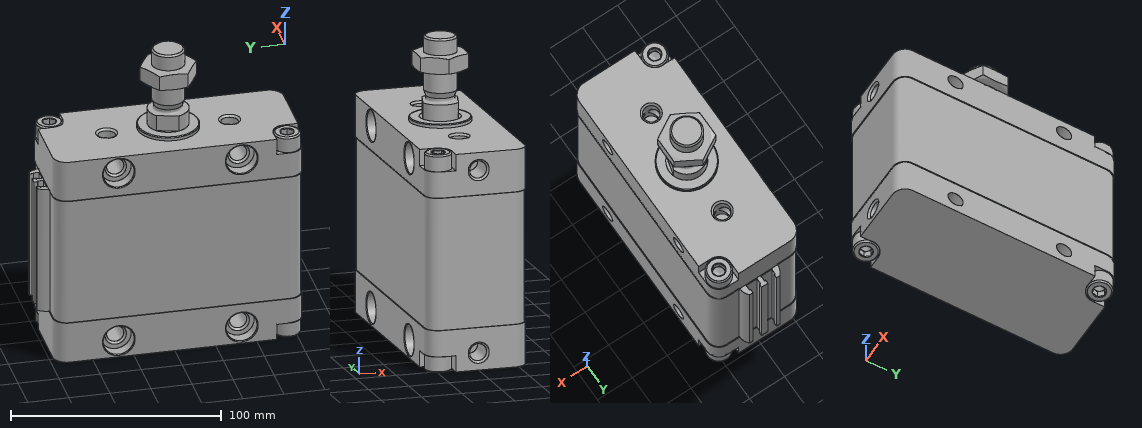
import cadquery as cq
import math

TOTAL_HEIGHT = 149.0
CAP_X = 50.0
CAP_Y = 121.3
CAP_HEIGHT = 21.0
CORNER_RADIUS = 7.0
HOUSING_HEIGHT = 107.1
BARREL_INSET = 0.5

RAIL_TOP_Y = 65.9
RAIL_BASE_RISE = 0.5
RAIL_HALF_WIDTH = 10.9
HOOK_TOP_OUTER = 8.6
HOOK_WALL_INNER = 7.3
HOOK_LIP_INNER = 6.7
HOOK_BULGE = 0.5
CENTRE_LIP_HALF = 1.8
CENTRE_WALL_HALF = 1.2
LIP_HEIGHT = 2.0

THREAD_HOLE_DIA = 8.3
THREAD_MOUTH_DIA = 10.5
HOLE_Y = 30.0
TOP_HOLE_DEPTH = 14.9
PORT_DEPTH = 14.9
PORT_INSET = 8.6
SIDE_HOLE_INSET = 8.8
COUNTERBORE_DIA = 15.0
COUNTERBORE_MOUTH_DIA = 16.0
COUNTERBORE_DEPTH = 6.4

SCREW_HEAD_DIA = 13.0
SCREW_TOP_DIA = 11.5
SCREW_HEAD_HEIGHT = 8.0
SOCKET_FLATS = 6.0
SOCKET_MOUTH_DIA = 6.9
SOCKET_DEPTH = 4.0
SOCKET_CONE_DEPTH = 1.8
SOCKET_ANGLE = 45.0
POCKET_DIA = 13.3

FLANGE_DIA = 30.0
FLANGE_HEIGHT = 2.0
FLANGE_CHAMFER = 0.5

ROD_DIA = 20.0
ROD_SHOULDER_Z = 117.1
ROD_FLAT_WIDTH = 16.8
ROD_FLAT_ANGLE = -15.0
NECK_DIA = 13.9
NECK_ROOT_RADIUS = 1.0
NECK_TOP_Z = 119.5
THREAD_DIA = 16.0
THREAD_BOTTOM_Z = 122.3
ROD_TIP_DIA = 14.3
ROD_TIP_LENGTH = 0.9

NUT_FLATS = 24.0
NUT_HEIGHT = 8.2
NUT_BOTTOM_Z = 132.8
NUT_FACE_DIA = 23.5
NUT_CHAMFER_ANGLE = 15.0
NUT_TURN = 30.0

BARREL_TOP_Z = HOUSING_HEIGHT - CAP_HEIGHT
FLANGE_TOP_Z = HOUSING_HEIGHT + FLANGE_HEIGHT
SCREW_X = CAP_X / 2 - CORNER_RADIUS
SCREW_Y = CAP_Y / 2 - CORNER_RADIUS


def rounded_block(width, length, height, radius):
    return (
        cq.Workplane("XY")
        .rect(width, length)
        .extrude(height)
        .edges("|Z")
        .fillet(radius)
    )


def revolved(profile):
    """Turn a list of (radius, height) points about the Z axis."""
    return cq.Workplane("XZ").polyline(profile).close().revolve(360, (0, 0, 0), (0, 1, 0))


def blind_hole(diameter, mouth_diameter, depth):
    """Cutter whose mouth lies at the origin and which runs down along -Z."""
    radius = diameter / 2
    mouth_radius = mouth_diameter / 2
    chamfer = mouth_radius - radius
    return revolved([(0, 0), (mouth_radius, 0), (radius, -chamfer), (radius, -depth), (0, -depth)])


def corner_pocket():
    """Square pocket open at the +X +Y corner, with one rounded inner corner."""
    pocket_radius = POCKET_DIA / 2
    reach = pocket_radius + CORNER_RADIUS
    floor_z = CAP_HEIGHT - SCREW_HEAD_HEIGHT
    return (
        cq.Workplane("XY", origin=(SCREW_X - pocket_radius, SCREW_Y - pocket_radius, floor_z))
        .rect(reach, reach, centered=False)
        .extrude(SCREW_HEAD_HEIGHT)
        .edges("|Z and <X and <Y")
        .fillet(pocket_radius)
    )


def screw_head():
    """Round head with a hexagon socket, its mouth countersunk at 45 degrees and its end a drill cone."""
    head_radius = SCREW_HEAD_DIA / 2
    top_radius = SCREW_TOP_DIA / 2
    chamfer = head_radius - top_radius
    head = revolved([
        (0, 0),
        (head_radius, 0),
        (head_radius, SCREW_HEAD_HEIGHT - chamfer),
        (top_radius, SCREW_HEAD_HEIGHT),
        (0, SCREW_HEAD_HEIGHT),
    ])
    socket_floor = SCREW_HEAD_HEIGHT - SOCKET_DEPTH
    socket = (
        cq.Workplane("XY", origin=(0, 0, socket_floor))
        .polygon(6, SOCKET_FLATS / math.cos(math.pi / 6))
        .extrude(SOCKET_DEPTH)
        .rotate((0, 0, 0), (0, 0, 1), SOCKET_ANGLE)
    )
    cone = revolved([
        (0, socket_floor),
        (SOCKET_FLATS / 2, socket_floor),
        (0, socket_floor - SOCKET_CONE_DEPTH),
    ])
    mouth = revolved([
        (0, SCREW_HEAD_HEIGHT),
        (SOCKET_MOUTH_DIA / 2, SCREW_HEAD_HEIGHT),
        (0, SCREW_HEAD_HEIGHT - SOCKET_MOUTH_DIA / 2),
    ])
    head = head.cut(socket).cut(cone).cut(mouth)
    return head.translate((SCREW_X, SCREW_Y, CAP_HEIGHT - SCREW_HEAD_HEIGHT))


def side_hole():
    """Counterbored through hole, cut from the -X side at y = 0, z = 0."""
    bore = blind_hole(COUNTERBORE_DIA, COUNTERBORE_MOUTH_DIA, COUNTERBORE_DEPTH)
    hole = blind_hole(THREAD_HOLE_DIA, THREAD_MOUTH_DIA, CAP_X - COUNTERBORE_DEPTH)
    cutter = bore.union(hole.translate((0, 0, -COUNTERBORE_DEPTH)))
    return cutter.rotate((0, 0, 0), (0, 1, 0), -90).translate((-CAP_X / 2, 0, 0))


def port():
    """Blind hole from the -Y side."""
    hole = blind_hole(THREAD_HOLE_DIA, THREAD_MOUTH_DIA, PORT_DEPTH)
    return hole.rotate((0, 0, 0), (1, 0, 0), 90).translate((0, -CAP_Y / 2, CAP_HEIGHT - PORT_INSET))


def make_cap():
    cap = rounded_block(CAP_X, CAP_Y, CAP_HEIGHT, CORNER_RADIUS).cut(port())
    for side in (-1, 1):
        cap = cap.cut(side_hole().translate((0, side * HOLE_Y, CAP_HEIGHT - SIDE_HOLE_INSET)))
    for turn in (0, 180):
        cap = cap.cut(corner_pocket().rotate((0, 0, 0), (0, 0, 1), turn))
        cap = cap.union(screw_head().rotate((0, 0, 0), (0, 0, 1), turn))
    return cap


def make_bottom_cap():
    return make_cap().mirror("XY").translate((0, 0, CAP_HEIGHT))


def make_bearing_cap():
    flange = (
        cq.Workplane("XY", origin=(0, 0, CAP_HEIGHT))
        .circle(FLANGE_DIA / 2)
        .extrude(FLANGE_HEIGHT)
        .faces(">Z")
        .chamfer(FLANGE_CHAMFER)
    )
    cap = make_cap().union(flange)
    rod_bore = cq.Workplane("XY").circle(ROD_DIA / 2).extrude(CAP_HEIGHT + FLANGE_HEIGHT)
    cap = cap.cut(rod_bore)
    for side in (-1, 1):
        hole = blind_hole(THREAD_HOLE_DIA, THREAD_MOUTH_DIA, TOP_HOLE_DEPTH)
        cap = cap.cut(hole.translate((0, side * HOLE_Y, CAP_HEIGHT)))
    return cap.translate((0, 0, BARREL_TOP_Z))


def make_rail(height):
    root_y = CAP_Y / 2 - BARREL_INSET
    floor_y = CAP_Y / 2 + RAIL_BASE_RISE
    lip_y = RAIL_TOP_Y - LIP_HEIGHT
    bow_x = (RAIL_HALF_WIDTH + HOOK_TOP_OUTER) / 2 + HOOK_BULGE
    bow_y = (floor_y + RAIL_TOP_Y) / 2
    half = (
        cq.Workplane("XY")
        .moveTo(0, root_y)
        .lineTo(RAIL_HALF_WIDTH, root_y)
        .lineTo(RAIL_HALF_WIDTH, floor_y)
        .threePointArc((bow_x, bow_y), (HOOK_TOP_OUTER, RAIL_TOP_Y))
        .lineTo(HOOK_LIP_INNER, RAIL_TOP_Y)
        .lineTo(HOOK_LIP_INNER, lip_y)
        .lineTo(HOOK_WALL_INNER, lip_y)
        .lineTo(HOOK_WALL_INNER, floor_y)
        .lineTo(CENTRE_WALL_HALF, floor_y)
        .lineTo(CENTRE_WALL_HALF, lip_y)
        .lineTo(CENTRE_LIP_HALF, lip_y)
        .lineTo(CENTRE_LIP_HALF, RAIL_TOP_Y)
        .lineTo(0, RAIL_TOP_Y)
        .close()
        .extrude(height)
    )
    return half.union(half.mirror("YZ"))


def make_barrel():
    height = BARREL_TOP_Z - CAP_HEIGHT
    block = rounded_block(
        CAP_X - 2 * BARREL_INSET,
        CAP_Y - 2 * BARREL_INSET,
        height,
        CORNER_RADIUS - BARREL_INSET,
    )
    return block.union(make_rail(height)).translate((0, 0, CAP_HEIGHT))


def make_rod():
    rod_radius = ROD_DIA / 2
    neck_radius = NECK_DIA / 2
    thread_radius = THREAD_DIA / 2
    root_centre_x = neck_radius + NECK_ROOT_RADIUS
    root_centre_z = ROD_SHOULDER_Z + NECK_ROOT_RADIUS
    root_offset = NECK_ROOT_RADIUS * math.sqrt(0.5)
    rod = (
        cq.Workplane("XZ")
        .moveTo(0, BARREL_TOP_Z)
        .lineTo(rod_radius, BARREL_TOP_Z)
        .lineTo(rod_radius, ROD_SHOULDER_Z)
        .lineTo(root_centre_x, ROD_SHOULDER_Z)
        .threePointArc(
            (root_centre_x - root_offset, root_centre_z - root_offset),
            (neck_radius, root_centre_z),
        )
        .lineTo(neck_radius, NECK_TOP_Z)
        .lineTo(thread_radius, THREAD_BOTTOM_Z)
        .lineTo(thread_radius, TOTAL_HEIGHT - ROD_TIP_LENGTH)
        .lineTo(ROD_TIP_DIA / 2, TOTAL_HEIGHT)
        .lineTo(0, TOTAL_HEIGHT)
        .close()
        .revolve(360, (0, 0, 0), (0, 1, 0))
    )
    flat_height = ROD_SHOULDER_Z - FLANGE_TOP_Z
    for side in (-1, 1):
        flat = (
            cq.Workplane("XY", origin=(0, 0, FLANGE_TOP_Z))
            .center(side * (ROD_FLAT_WIDTH + ROD_DIA) / 2, 0)
            .rect(ROD_DIA, 2 * ROD_DIA)
            .extrude(flat_height)
            .rotate((0, 0, 0), (0, 0, 1), ROD_FLAT_ANGLE)
        )
        rod = rod.cut(flat)
    return rod


def make_nut():
    corner_dia = NUT_FLATS / math.cos(math.pi / 6)
    corner_radius = corner_dia / 2
    face_radius = NUT_FACE_DIA / 2
    drop = (corner_radius - face_radius) * math.tan(math.radians(NUT_CHAMFER_ANGLE))
    hexagon = (
        cq.Workplane("XY")
        .polygon(6, corner_dia)
        .extrude(NUT_HEIGHT)
        .rotate((0, 0, 0), (0, 0, 1), NUT_TURN)
    )
    turned_blank = revolved([
        (THREAD_DIA / 2, 0),
        (face_radius, 0),
        (corner_radius, drop),
        (corner_radius, NUT_HEIGHT - drop),
        (face_radius, NUT_HEIGHT),
        (THREAD_DIA / 2, NUT_HEIGHT),
    ])
    return hexagon.intersect(turned_blank).translate((0, 0, NUT_BOTTOM_Z))


bottom_cap = make_bottom_cap()
barrel = make_barrel()
bearing_cap = make_bearing_cap()
rod = make_rod()
nut = make_nut()

result = cq.Compound.makeCompound([
    bottom_cap.val(),
    barrel.val(),
    bearing_cap.val(),
    rod.val(),
    nut.val(),
])